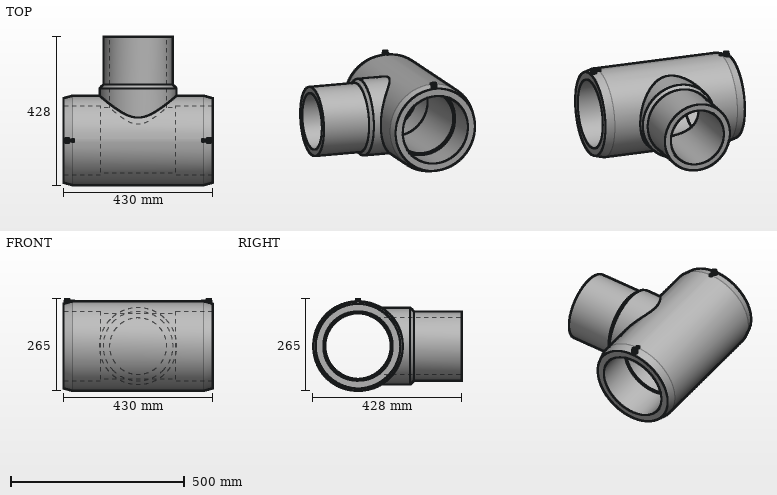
import cadquery as cq

body_length = 430.0
body_radius = 129.0
end_taper_length = 26.2
end_taper_drop = 7.5
socket_radius = 99.8
socket_depth = 107.5
bore_radius = 94.0

branch_end = 299.0
branch_radius = 100.0
branch_bore_radius = 81.5
collar_radius = 111.0
collar_end = 161.0

terminal_inset = 11.0
terminal_base_radius = 7.7
terminal_base_top = 129.0
terminal_cap_radius = 6.5
terminal_cap_chamfer = 1.5
terminal_top = 136.0
terminal_pocket_radius = 2.5
terminal_pocket_depth = 4.5
indicator_inset = 27.5
indicator_radius = 4.0
indicator_top = 130.7
root_height = 116.0

half_length = body_length / 2


def cylinder_x(radius, start, end):
    """Cylinder along the sleeve axis from X = start to X = end."""
    return cq.Workplane("YZ", origin=(start, 0, 0)).circle(radius).extrude(end - start)


def cylinder_y(radius, end):
    """Cylinder from the sleeve axis out to Y = end."""
    return cq.Workplane("XZ").circle(radius).extrude(-end)


def upright(x, radius, bottom, top):
    """Vertical cylinder above the sleeve axis."""
    return cq.Workplane("XY", origin=(x, 0, bottom)).circle(radius).extrude(top - bottom)


def make_sleeve():
    face_radius = body_radius - end_taper_drop
    shoulder = half_length - end_taper_length
    profile = [
        (-half_length, 0),
        (-half_length, face_radius),
        (-shoulder, body_radius),
        (shoulder, body_radius),
        (half_length, face_radius),
        (half_length, 0),
    ]
    return cq.Workplane("XY").polyline(profile).close().revolve(360, (0, 0, 0), (1, 0, 0))


def make_branch():
    collar_bevel = collar_radius - branch_radius
    collar = cylinder_y(collar_radius, collar_end).faces(">Y").chamfer(collar_bevel)
    return collar.union(cylinder_y(branch_radius, branch_end))


def make_terminal(x):
    base = upright(x, terminal_base_radius, root_height, terminal_base_top)
    cap = upright(x, terminal_cap_radius, root_height, terminal_top)
    cap = cap.faces(">Z").chamfer(terminal_cap_chamfer)
    pocket_floor = terminal_top - terminal_pocket_depth
    pocket = upright(x, terminal_pocket_radius, pocket_floor, terminal_top)
    return base.union(cap).cut(pocket)


result = make_sleeve().union(make_branch())

result = result.cut(cylinder_x(bore_radius, -half_length, half_length))
for side in (-1, 1):
    socket_floor = side * (half_length - socket_depth)
    result = result.cut(cylinder_x(socket_radius, socket_floor, side * half_length))
result = result.cut(cylinder_y(branch_bore_radius, branch_end))

for side in (-1, 1):
    result = result.union(make_terminal(side * (half_length - terminal_inset)))
    indicator_x = side * (half_length - indicator_inset)
    result = result.union(upright(indicator_x, indicator_radius, root_height, indicator_top))